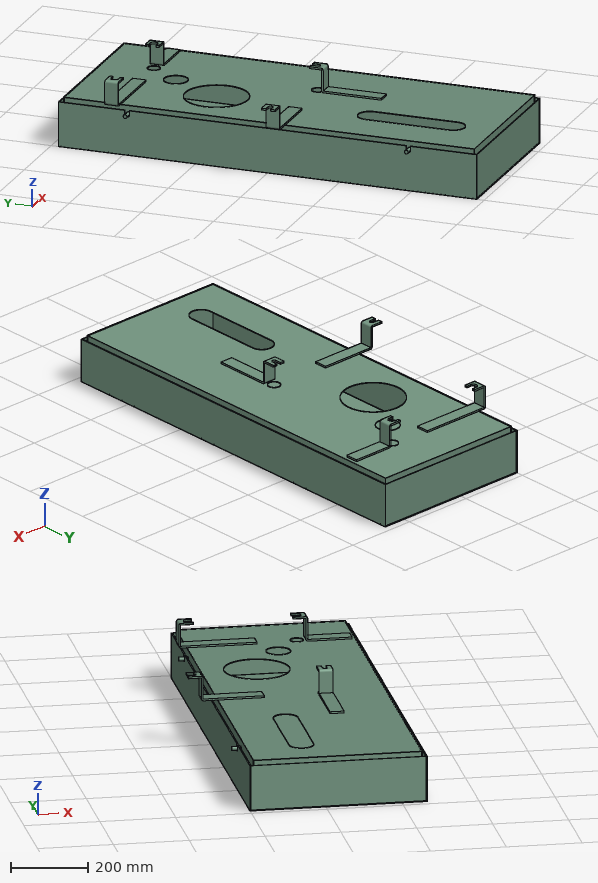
import cadquery as cq
OVERALL_HEIGHT = 202.0

HOUSING_LENGTH = 1160.0
HOUSING_WIDTH = 467.0
HOUSING_HEIGHT = 123.0
SHEET = 2.0
SIDE_WALL = 3.0

COVER_INSET = 10.0
COVER_TOP = 135.0

LARGE_HOLE_DIAMETER = 173.0
LARGE_HOLE_CENTER = (158.0, 781.0)
SMALL_HOLE_DIAMETER = 65.0
SMALL_HOLE_CENTER = (240.0, 925.0)
ACCESS_HOLE_DIAMETER = 35.0
ACCESS_HOLE_CENTERS = [(304.0, 1009.0), (296.0, 551.0)]
SLOT_WIDTH = 65.0
SLOT_LENGTH = 296.0
SLOT_CENTER = (LARGE_HOLE_CENTER[0], 240.0)

SCREW_DIAMETER = 10.0
NOTCH_WIDTH = 13.0
SCREW_HEIGHT = 111.0
SCREW_OVERHANG = 14.0
SCREW_SPACING = 780.0

STRIP_WIDTH = 37.0
STRIP_THICKNESS = 5.0
BEND_RADIUS = 6.4
TAB_REACH = 34.0
BRACKET_HEIGHT = OVERALL_HEIGHT - COVER_TOP
NARROW_SLOT = 13.0
WIDE_SLOT = 21.0
TAB_SLOT_DEPTH = 23.0


def box_between(low, high):
    """Box spanning two opposite corners."""
    size = [b - a for a, b in zip(low, high)]
    return cq.Workplane("XY").box(*size, centered=False).translate(low)


def screw_positions():
    middle = HOUSING_LENGTH / 2
    return [middle - SCREW_SPACING / 2, middle + SCREW_SPACING / 2]


def make_housing():
    tub = box_between((0, 0, 0), (HOUSING_WIDTH, HOUSING_LENGTH, HOUSING_HEIGHT))
    cavity = box_between(
        (SIDE_WALL, SHEET, SHEET),
        (HOUSING_WIDTH - SIDE_WALL, HOUSING_LENGTH - SHEET, HOUSING_HEIGHT),
    )
    tub = tub.cut(cavity)
    radius = NOTCH_WIDTH / 2
    for y in screw_positions():
        seat = cq.Workplane("YZ").center(y, SCREW_HEIGHT).circle(radius).extrude(SIDE_WALL)
        mouth = box_between(
            (0, y - radius, SCREW_HEIGHT), (SIDE_WALL, y + radius, HOUSING_HEIGHT)
        )
        tub = tub.cut(seat).cut(mouth)
    return tub


def make_cover():
    far_x = HOUSING_WIDTH - COVER_INSET
    far_y = HOUSING_LENGTH - COVER_INSET
    pan = box_between((COVER_INSET, COVER_INSET, SHEET), (far_x, far_y, COVER_TOP))
    inner = COVER_INSET + SHEET
    hollow = box_between(
        (inner, inner, SHEET),
        (far_x - SHEET, far_y - SHEET, COVER_TOP - SHEET),
    )
    openings = (
        cq.Workplane("XY", origin=(0, 0, COVER_TOP - SHEET))
        .pushPoints([LARGE_HOLE_CENTER]).circle(LARGE_HOLE_DIAMETER / 2)
        .pushPoints([SMALL_HOLE_CENTER]).circle(SMALL_HOLE_DIAMETER / 2)
        .pushPoints(ACCESS_HOLE_CENTERS).circle(ACCESS_HOLE_DIAMETER / 2)
        .pushPoints([SLOT_CENTER]).slot2D(SLOT_LENGTH, SLOT_WIDTH, 90)
        .extrude(SHEET)
    )
    return pan.cut(hollow).cut(openings)


def make_screw(y):
    return (
        cq.Workplane("YZ", origin=(-SCREW_OVERHANG, y, SCREW_HEIGHT))
        .circle(SCREW_DIAMETER / 2)
        .extrude(SCREW_OVERHANG + COVER_INSET)
    )


def make_bracket(foot_length, tab_side, slot_width):
    """Bracket standing on Z = 0: web at X = 0, foot toward +X, tab toward +X or -X by tab_side (1 or -1)."""
    half = STRIP_WIDTH / 2
    thick = STRIP_THICKNESS
    top = BRACKET_HEIGHT
    tab_start = 0 if tab_side > 0 else -TAB_REACH
    tab_end = tab_start + thick + TAB_REACH

    foot = box_between((0, -half, 0), (foot_length, half, thick))
    web = box_between((0, -half, 0), (thick, half, top))
    tab = box_between((tab_start, -half, top - thick), (tab_end, half, top))
    bent = foot.union(web).union(tab)

    outer_web = 0 if tab_side > 0 else thick
    for x, z in [(0, 0), (outer_web, top)]:
        bend_edge = cq.selectors.NearestToPointSelector((x, 0, z))
        bent = bent.edges(bend_edge).fillet(BEND_RADIUS)

    open_end = tab_end if tab_side > 0 else tab_start
    radius = slot_width / 2
    round_center = open_end - tab_side * (TAB_SLOT_DEPTH - radius)
    slot_floor = (round_center, 0, top - thick)
    slot_round = cq.Workplane("XY", origin=slot_floor).circle(radius).extrude(thick)
    slot_mouth = box_between(
        (min(round_center, open_end), -radius, top - thick),
        (max(round_center, open_end), radius, top),
    )
    return bent.cut(slot_round).cut(slot_mouth)


BRACKETS = [
    (166.0, -1, NARROW_SLOT, 0, (-32.0, 553.0)),
    (206.0, 1, WIDE_SLOT, 0, (-10.0, 1009.0)),
    (122.0, -1, WIDE_SLOT, 0, (325.0, 1009.0)),
    (166.0, -1, NARROW_SLOT, -90, (296.0, 535.0)),
]

housing = make_housing()
cover = make_cover()
screws = [make_screw(y) for y in screw_positions()]
brackets = [
    make_bracket(foot, side, slot).rotate((0, 0, 0), (0, 0, 1), turn).translate((x, y, COVER_TOP))
    for foot, side, slot, turn, (x, y) in BRACKETS
]

result = cq.Compound.makeCompound(
    [housing.val(), cover.val()]
    + [screw.val() for screw in screws]
    + [bracket.val() for bracket in brackets]
)